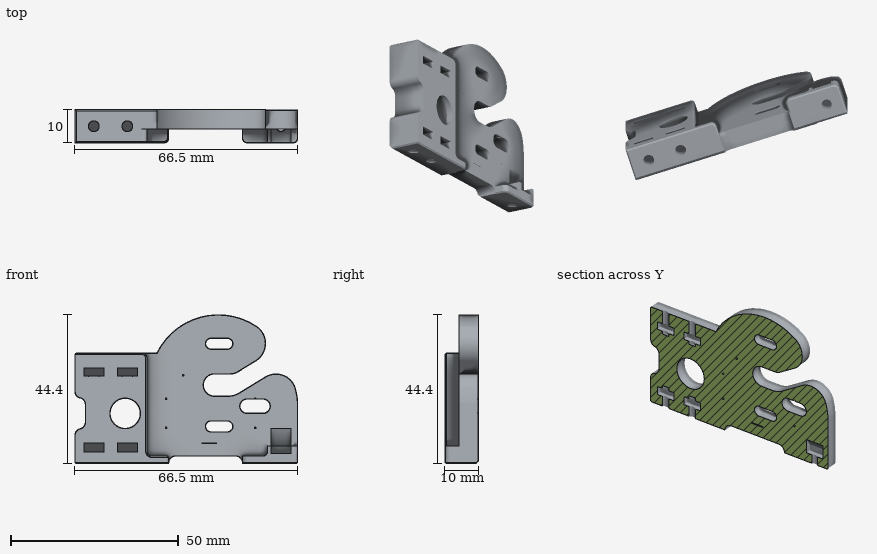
import cadquery as cq
import math

length = 66.5
thickness = 10.0
plate_front = 4.1
edge_chamfer = 0.4
back_bottom_chamfer = 0.9
corner_radius = 1.5
tolerance = 0.01

block_width = 21.5
block_height = 33.0
foot_height = 2.25
left_foot_end = 28.0
right_foot_start = 50.0
arch_radius = 2.0

bore_x = 15.0
bore_z = 15.0
notch_depth = 3.1
notch_radius = 2.0
notch_half_floor = 2.65

head_radius = 20.4
head_x = 42.8
head_top = 44.42
head_z = head_top - head_radius
head_start_x = head_x - math.sqrt(head_radius**2 - (block_height - head_z) ** 2)
nose_radius = 6.1
nose_joint_x = 54.2

slot_width = 6.6
slot_z = 23.45
slot_end_x = 38.35
slot_slope = math.radians(31.5)
upper_bend_radius = 4.0
lower_bend_radius = 6.5

cam_radius = 6.05
cam_x = 60.0
cam_z = slot_z + slot_width / 2 - cam_radius
cam_joint_x = 65.7
cam_side = (66.25, 20.3)
cam_side_end_z = 18.0
cam_relief = 0.2
cam_relief_x = 56.8

bore_diameter = 9.0
bore_back_diameter = 10.1
bore_lip = 2.0

screw_y = 5.0
screw_diameter = 3.2
screw_xs = (5.65, 15.65)
nut_width = 6.0
nut_back_y = 7.7
lower_nut_slot = (3.5, 6.1)
upper_nut_slot = (26.1, 28.5)
screw_tip_room = 1.0

step_x = 57.5
step_height = 5.3
pocket_x = 61.5
pocket_floor = 3.1
pocket_back_height = 5.2
pocket_top = 10.5
pocket_screw_diameter = 3.0

slotted_holes = (
    (43.05, 35.8, 8.1, 3.2),
    (43.05, 11.1, 8.1, 3.2),
    (53.75, 17.15, 9.0, 4.2),
)

pin_centre_x = 40.5
pin_centre_z = 15.0
pin_circle_radius = 14.0
pin_angles = (-18, 18, 126, 162, 198)
pin_diameter = 0.45
pin_depth = 4.0
slit_z = 6.1
slit_x = 40.1
slit_length = 4.4
slit_width = 0.1


def front_sketch(y):
    """Sketch plane at the given Y whose local axes are X and Z; a negative extrusion runs toward +Y."""
    return cq.Workplane(cq.Plane(origin=(0, y, 0), xDir=(1, 0, 0), normal=(0, -1, 0)))


def box(x0, x1, y0, y1, z0, z1):
    return cq.Workplane("XY").box(x1 - x0, y1 - y0, z1 - z0, centered=False).translate((x0, y0, z0))


def on_circle(x, z, radius, angle):
    return (x + radius * math.cos(angle), z + radius * math.sin(angle))


def y_cylinder(x, z, diameter, y0, y1):
    return front_sketch(y0).center(x, z).circle(diameter / 2).extrude(y0 - y1)


def z_cylinder(x, diameter, z0, z1):
    return cq.Workplane("XY", origin=(x, screw_y, z0)).circle(diameter / 2).extrude(z1 - z0)


def fillet_y_corner(solid, x, z, radius):
    """Round the edge that runs along Y nearest to the point (x, z)."""
    nearest = cq.selectors.NearestToPointSelector((x, thickness, z))
    corner = solid.faces(">Y").vertices(nearest).val().Center()
    edges = [
        e for e in solid.edges("|Y").vals()
        if math.hypot(e.Center().x - corner.x, e.Center().z - corner.z) < tolerance
    ]
    return solid.newObject(edges).fillet(radius)


def make_plate():
    """Thin plate with the head, the hooked slot, the cam lobe and the arch between the feet."""
    joint_angle = math.acos((nose_joint_x - head_x) / head_radius)
    head_joint = on_circle(head_x, head_z, head_radius, joint_angle)
    nose_x, nose_z = on_circle(head_x, head_z, head_radius - nose_radius, joint_angle)
    nose_tip = (nose_x + nose_radius, nose_z)
    nose_end = on_circle(nose_x, nose_z, nose_radius, slot_slope - math.pi / 2)

    slot_top = slot_z + slot_width / 2
    slot_bottom = slot_z - slot_width / 2
    slot_end_centre_x = slot_end_x + slot_width / 2
    cam_start = on_circle(cam_x, cam_z, cam_radius, slot_slope + math.pi / 2)
    cam_joint = on_circle(cam_x, cam_z, cam_radius, math.acos((cam_joint_x - cam_x) / cam_radius))
    upper_bend_x = nose_end[0] - (nose_end[1] - slot_top) / math.tan(slot_slope)
    lower_bend_x = cam_start[0] - (cam_start[1] - slot_bottom) / math.tan(slot_slope)

    plate = (
        front_sketch(plate_front)
        .moveTo(0, 0)
        .lineTo(0, block_height)
        .lineTo(head_start_x, block_height)
        .threePointArc((head_x, head_top), head_joint)
        .threePointArc(nose_tip, nose_end)
        .lineTo(upper_bend_x, slot_top)
        .lineTo(slot_end_centre_x, slot_top)
        .threePointArc((slot_end_x, slot_z), (slot_end_centre_x, slot_bottom))
        .lineTo(lower_bend_x, slot_bottom)
        .lineTo(*cam_start)
        .threePointArc((cam_x, cam_z + cam_radius), cam_joint)
        .threePointArc(cam_side, (length, cam_side_end_z))
        .lineTo(length, 0)
        .lineTo(right_foot_start, 0)
        .lineTo(right_foot_start, foot_height)
        .lineTo(left_foot_end, foot_height)
        .lineTo(left_foot_end, 0)
        .close()
        .extrude(plate_front - thickness)
    )
    plate = fillet_y_corner(plate, upper_bend_x, slot_top, upper_bend_radius)
    plate = fillet_y_corner(plate, lower_bend_x, slot_bottom, lower_bend_radius)
    for arch_x in (left_foot_end, right_foot_start):
        plate = fillet_y_corner(plate, arch_x, foot_height, arch_radius)
    return plate.cut(
        box(cam_relief_x, length, thickness - cam_relief, thickness, 0, block_height)
    )


def chamfer_underside_front(solid):
    """Chamfer the front edge of the underside, around its rounded corners."""
    underside = solid.faces("<Z").edges("not >Y")
    front_edges = [e for e in underside.vals() if e.Center().x > tolerance]
    return solid.newObject(front_edges).chamfer(edge_chamfer)


def make_block():
    """Raised block and left foot; the right-hand front edges are chamfered in one chain."""
    block = (
        front_sketch(0)
        .polyline([
            (0, 0), (0, block_height), (block_width, block_height),
            (block_width, foot_height), (left_foot_end, foot_height), (left_foot_end, 0),
        ])
        .close()
        .extrude(-plate_front)
    )
    block = fillet_y_corner(block, block_width, block_height, corner_radius)
    block = fillet_y_corner(block, block_width, foot_height, corner_radius)
    block = block.edges("|Z and >X and <Y").fillet(corner_radius)
    raised_edges = [
        e for e in block.edges().vals()
        if e.BoundingBox().zmin > foot_height - tolerance
        and e.BoundingBox().ymax < plate_front - tolerance
        and e.BoundingBox().xmax > tolerance
    ]
    block = block.newObject(raised_edges).chamfer(edge_chamfer)
    return chamfer_underside_front(block)


def make_right_foot():
    """Foot below the cam with a taller step around the screw pocket."""
    foot = (
        front_sketch(0)
        .polyline([
            (right_foot_start, 0), (right_foot_start, foot_height), (step_x, foot_height),
            (step_x, step_height), (length, step_height), (length, 0),
        ])
        .close()
        .extrude(-plate_front)
    )
    foot = foot.edges("|Y").edges(
        cq.selectors.NearestToPointSelector((step_x, plate_front / 2, foot_height))
    ).fillet(corner_radius)
    foot = foot.edges("|Z and <Y and (<X or >X)").fillet(corner_radius)
    return chamfer_underside_front(foot)


def bevel_along_x(y, z, y_inward, z_inward, x_end):
    """Triangular bar from x = 0 to x_end that bevels the edge at (y, z)."""
    profile = [(y, z), (y + y_inward, z), (y, z + z_inward)]
    return cq.Workplane("YZ").polyline(profile).close().extrude(x_end)


def bevel_along_y(x, z, x_inward, z_inward):
    """Triangular bar through the whole thickness that bevels the edge at (x, z)."""
    profile = [(x, z), (x + x_inward, z), (x, z + z_inward)]
    return front_sketch(0).polyline(profile).close().extrude(-thickness)


def bevel_outer_edges(solid):
    """Bevel the rear and end edges; the rear underside gets a larger bevel."""
    rear = thickness
    small = edge_chamfer
    large = back_bottom_chamfer
    solid = solid.cut(bevel_along_x(rear, 0, -large, large, length))
    solid = solid.cut(bevel_along_x(rear, block_height, -small, -small, head_start_x))
    solid = solid.cut(bevel_along_y(0, block_height, small, -small))
    solid = solid.cut(bevel_along_y(0, 0, small, small))
    return solid.cut(bevel_along_y(length, 0, -small, small))


def cut_side_notch(solid):
    """Notch in the left side whose ends are S-curves of two equal tangent arcs."""
    turn = math.acos(1 - notch_depth / (2 * notch_radius))
    half_rise = notch_radius * math.sin(turn)
    arc_in = notch_radius * (1 - math.cos(turn / 2))
    arc_up = notch_radius * math.sin(turn / 2)
    low_floor = bore_z - notch_half_floor
    high_floor = bore_z + notch_half_floor
    low_end = low_floor - 2 * half_rise
    high_end = high_floor + 2 * half_rise
    notch = (
        front_sketch(0)
        .moveTo(0, low_end)
        .threePointArc((arc_in, low_end + arc_up), (notch_depth / 2, low_end + half_rise))
        .threePointArc((notch_depth - arc_in, low_floor - arc_up), (notch_depth, low_floor))
        .lineTo(notch_depth, high_floor)
        .threePointArc(
            (notch_depth - arc_in, high_floor + arc_up),
            (notch_depth / 2, high_floor + half_rise),
        )
        .threePointArc((arc_in, high_end - arc_up), (0, high_end))
        .close()
        .extrude(-thickness)
    )
    return solid.cut(notch)


def cut_bore(solid):
    solid = solid.cut(y_cylinder(bore_x, bore_z, bore_diameter, 0, thickness))
    return solid.cut(y_cylinder(bore_x, bore_z, bore_back_diameter, bore_lip, thickness))


def cut_nut_slots(solid):
    """Two screw holes from the top and two from the bottom, each crossing a nut slot."""
    for x in screw_xs:
        for z0, z1 in (lower_nut_slot, upper_nut_slot):
            solid = solid.cut(box(x - nut_width / 2, x + nut_width / 2, 0, nut_back_y, z0, z1))
        solid = solid.cut(z_cylinder(x, screw_diameter, 0, lower_nut_slot[1] + screw_tip_room))
        solid = solid.cut(
            z_cylinder(x, screw_diameter, upper_nut_slot[0] - screw_tip_room, block_height)
        )
    return solid


def cut_foot_pocket(solid):
    """Pocket open to the front, with a roof sloping down to the back wall."""
    pocket = (
        cq.Workplane("YZ", origin=(pocket_x - nut_width / 2, 0, 0))
        .polyline([
            (0, pocket_floor), (nut_back_y, pocket_floor), (nut_back_y, pocket_back_height),
            (plate_front, pocket_top), (0, pocket_top),
        ])
        .close()
        .extrude(nut_width)
    )
    return solid.cut(pocket).cut(z_cylinder(pocket_x, pocket_screw_diameter, 0, pocket_floor))


def cut_slotted_holes(solid):
    for x, z, slot_length, width in slotted_holes:
        hole = front_sketch(0).center(x, z).slot2D(slot_length, width).extrude(-thickness)
        solid = solid.cut(hole)
    return solid


def cut_pin_holes(solid):
    """Tiny blind holes on a circle and one narrow slit below them."""
    pin_end = plate_front + pin_depth
    for angle in pin_angles:
        x, z = on_circle(pin_centre_x, pin_centre_z, pin_circle_radius, math.radians(angle))
        solid = solid.cut(y_cylinder(x, z, pin_diameter, plate_front, pin_end))
    slit = box(
        slit_x - slit_length / 2, slit_x + slit_length / 2, plate_front, pin_end,
        slit_z - slit_width / 2, slit_z + slit_width / 2,
    )
    return solid.cut(slit)


body = make_plate().union(make_block()).union(make_right_foot())
body = bevel_outer_edges(body)
body = cut_side_notch(body)
body = cut_bore(body)
body = cut_nut_slots(body)
body = cut_foot_pocket(body)
body = cut_slotted_holes(body)
result = cut_pin_holes(body)